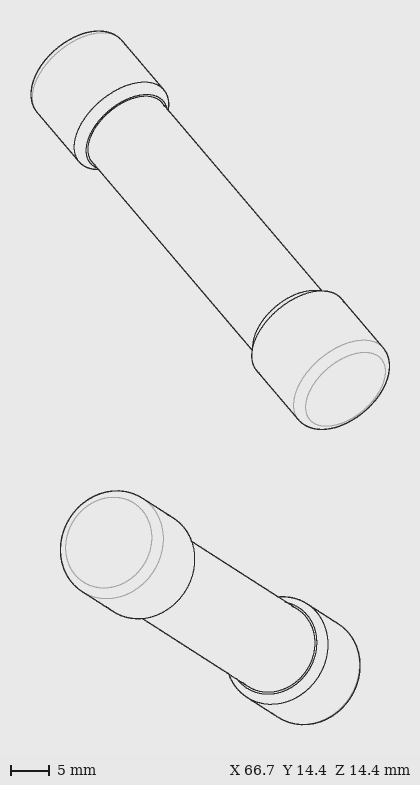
import cadquery as cq

total_length = 66.7
cap_diameter = 14.4

cap_length = 12.8
end_round = 1.15
taper_length = 1.35
rim_wall = 0.3
cap_end_thickness = 1.0

tube_diameter = 11.9

cap_radius = cap_diameter / 2
tube_radius = tube_diameter / 2
half_length = total_length / 2
tube_length = total_length - 2 * cap_end_thickness


def cylinder_along_x(start, length, radius):
    return cq.Workplane("YZ").workplane(offset=start).circle(radius).extrude(length)


def make_tube():
    """Plain round body, reaching the closed end of both caps."""
    return cylinder_along_x(-tube_length / 2, tube_length, tube_radius)


def make_left_cap():
    """Cup with a rounded closed end and a taper ending in a thin rim around the tube."""
    closed_end = -half_length
    rim = closed_end + cap_length
    blank = (
        cq.Workplane("XY")
        .moveTo(closed_end, 0)
        .lineTo(closed_end, cap_radius - end_round)
        .radiusArc((closed_end + end_round, cap_radius), end_round)
        .lineTo(rim - taper_length, cap_radius)
        .lineTo(rim, tube_radius + rim_wall)
        .lineTo(rim, 0)
        .close()
        .revolve(360, (0, 0, 0), (1, 0, 0))
    )
    socket = cylinder_along_x(closed_end + cap_end_thickness, cap_length, tube_radius)
    return blank.cut(socket)


tube = make_tube()
left_cap = make_left_cap()
caps = [left_cap.rotate((0, 0, 0), (0, 0, 1), turn).val() for turn in (0, 180)]

result = cq.Compound.makeCompound([tube.val(), *caps])